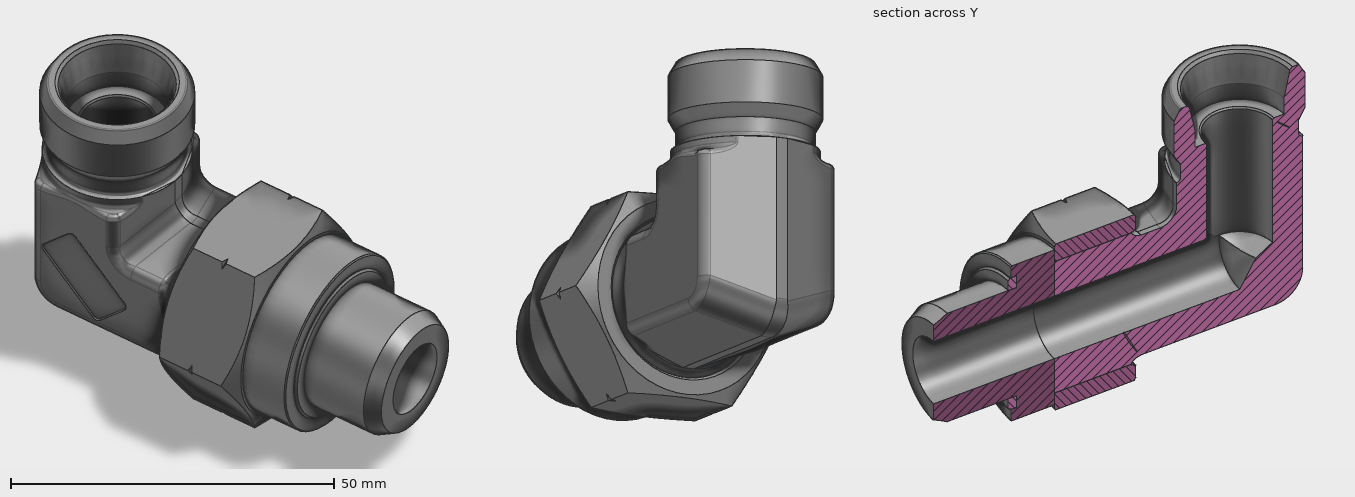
import cadquery as cq
import math


TOLERANCE = 0.01
STOCK_LENGTH = 61.2

OVERALL_LENGTH = 68.0
BORE_D = 12.0
DRILL_POINT_ANGLE = 118.0
UPRIGHT_DRILL_STOP = 0.7
HEAD_D = 24.0
SHANK_D = 23.25

SIDE_OFFSET = HEAD_D / 2
RIDGE_OFFSET = 11.55
RIDGE_HALF_WIDTH = 0.95
SLANT_ANGLE = 20.0
OUTER_BEND_R = 5.0
INNER_BEND_R = 3.0
SIDE_EDGE_R = 2.0
LEG_END = 19.05
SHANK_START = 18.1
TRIM_START = 18.0
TRIM_COVE_R = 1.0
TRIM_EDGE_R = 0.95

NECK_D = 21.6
HEAD_TOP = 33.05
HEAD_CHAMFER_ANGLE = 30.0
HEAD_UNDERSIDE = 24.3
RIM_EDGE_R = 0.3
SOCKET_D = 16.2
SOCKET_DEPTH = 8.5
BORE_CHAMFER = 0.3
CONE_MOUTH_D = 18.3
CONE_HALF_ANGLE = 12.0
MOUTH_CHAMFER = 0.5

PLATE_LENGTH = 15.0
PLATE_WIDTH = 8.5
PLATE_CORNER_R = 1.0
PLATE_DEPTH = 0.3
PLATE_DRAFT = 30.0
PLATE_SLOPE = 45.0
PLATE_CENTRE = 2.05

NUT_START = 19.0
NUT_END = 33.9
NUT_ACROSS_FLATS = 31.95
NUT_FACE_D = 31.0
NUT_CHAMFER_ANGLE = 30.0
NUT_BORE_D = 25.4
NUT_MOUTH_D = 26.3
NOTCH_ROOT_D = 35.9
NOTCH_HALF_WIDTH = 0.4
SHANK_FLARE_R = 2.0

FLANGE_D = 29.9
FLANGE_END = 41.9
FLANGE_CHAMFER = 0.2
STUD_D = 20.95
STUD_TIP_D = 18.3
STUD_CHAMFER_START = 53.5
STUD_END = OVERALL_LENGTH - HEAD_D / 2
RING_D = 25.2
RING_START = 40.9
RING_END = 42.35
RING_CHAMFER = 0.35


def turned_z(points):
    """Solid of revolution about Z from (radius, height) points."""
    return cq.Workplane("XZ").polyline(points).close().revolve(360, (0, 0, 0), (0, 1, 0))


def turned_x(points):
    """Solid of revolution about X from (position, radius) points."""
    return cq.Workplane("XY").polyline(points).close().revolve(360, (0, 0, 0), (1, 0, 0))


def rod_x(diameter, start, end):
    return cq.Workplane("YZ").workplane(offset=start).circle(diameter / 2).extrude(end - start)


def turn_about_y(shape, angle):
    """Turn about Y: 90 degrees takes the +Z leg onto +X, and -90 degrees takes it back."""
    return shape.rotate((0, 0, 0), (0, 1, 0), angle)


def rounded_wedge(corner, bend_r, taper, start_y, toward_y):
    """Square block with its (-X, -Z) edge rounded; that edge starts at (corner, start_y, corner)."""
    depth = abs(toward_y - start_y)
    direction = math.copysign(1, start_y - toward_y)
    centre = corner + STOCK_LENGTH / 2
    block = (
        cq.Workplane("XZ", origin=(centre, start_y, centre))
        .rect(STOCK_LENGTH, STOCK_LENGTH)
        .extrude(direction * depth, taper=taper)
    )
    middle = corner + depth * math.tan(math.radians(taper)) / 2
    bend_edge = cq.NearestToPointSelector((middle, (start_y + toward_y) / 2, middle))
    return block.edges(bend_edge).fillet(bend_r)


def bend_stock(offset, taper):
    """L-shaped stock from Y = 0 to the -Y side; `offset` is its half width at Y = 0."""
    side_offset = offset - SIDE_OFFSET * math.tan(math.radians(taper))
    outside = rounded_wedge(-offset, OUTER_BEND_R, taper, 0, -SIDE_OFFSET)
    inside = rounded_wedge(side_offset, INNER_BEND_R, taper, -SIDE_OFFSET, 0)
    return outside.cut(inside)


def prismatic_body():
    """Both legs with their narrow outer flats, sloping faces and rounded side edges."""
    slant_offset = RIDGE_OFFSET + RIDGE_HALF_WIDTH * math.tan(math.radians(SLANT_ANGLE))
    half = bend_stock(RIDGE_OFFSET, 0).intersect(bend_stock(slant_offset, SLANT_ANGLE))
    half = half.intersect(cq.Workplane("XY").box(2 * LEG_END, 2 * LEG_END, 2 * LEG_END))
    side_edges = half.faces("<Y").edges("not(>X or >Z)")
    half = side_edges.fillet(SIDE_EDGE_R)
    return half.union(half.mirror("XZ"))


def leg_end_trim():
    """Ring of material around the +Z leg that is turned away next to its end."""
    shank_r = SHANK_D / 2
    shoulder = TRIM_START - TRIM_COVE_R
    return (
        cq.Workplane("XZ")
        .moveTo(shank_r, LEG_END)
        .lineTo(shank_r, TRIM_START)
        .radiusArc((shank_r + TRIM_COVE_R, shoulder), -TRIM_COVE_R)
        .lineTo(STOCK_LENGTH, shoulder)
        .lineTo(STOCK_LENGTH, LEG_END)
        .close()
        .revolve(360, (0, 0, 0), (0, 1, 0))
    )


def trim_leg_end(body):
    """Turn the end of the +Z leg round and ease the outer edges of the shoulder that is left."""
    body = body.cut(leg_end_trim())
    shoulder = TRIM_START - TRIM_COVE_R
    cove_r = SHANK_D / 2 + TRIM_COVE_R

    def is_outer_edge(edge):
        is_cove_circle = edge.geomType() == "CIRCLE" and abs(edge.radius() - cove_r) < TOLERANCE
        box = edge.BoundingBox()
        is_low = abs(box.zmin - shoulder) < TOLERANCE and box.zmax < shoulder + TRIM_COVE_R / 2
        return is_low and not is_cove_circle

    outer_edges = [edge for edge in body.edges().vals() if is_outer_edge(edge)]
    return body.newObject(outer_edges).fillet(TRIM_EDGE_R)


def threaded_head():
    """Neck and thread on top of the +Z leg, turned as one solid piece."""
    shank_r, neck_r, head_r = SHANK_D / 2, NECK_D / 2, HEAD_D / 2
    flare = shank_r - neck_r
    undercut = (head_r - neck_r) / math.tan(math.radians(HEAD_CHAMFER_ANGLE))
    return (
        cq.Workplane("XZ")
        .moveTo(0, LEG_END)
        .lineTo(shank_r, LEG_END)
        .radiusArc((neck_r, LEG_END + flare), flare)
        .lineTo(neck_r, HEAD_UNDERSIDE - undercut)
        .lineTo(head_r, HEAD_UNDERSIDE)
        .lineTo(head_r, HEAD_TOP - undercut)
        .lineTo(neck_r, HEAD_TOP)
        .lineTo(0, HEAD_TOP)
        .close()
        .revolve(360, (0, 0, 0), (0, 1, 0))
        .faces(">Z").edges().fillet(RIM_EDGE_R)
    )


def tube_socket():
    """Chamfered 24 degree cone and the tube seat below it, open at the top of the head."""
    bore_r, seat_r, mouth_r = BORE_D / 2, SOCKET_D / 2, CONE_MOUTH_D / 2
    seat_z = HEAD_TOP - SOCKET_DEPTH
    mouth_z = HEAD_TOP - MOUTH_CHAMFER
    cone_depth = (mouth_r - seat_r) / math.tan(math.radians(CONE_HALF_ANGLE))
    return turned_z([
        (0, seat_z - BORE_CHAMFER),
        (bore_r, seat_z - BORE_CHAMFER),
        (bore_r + BORE_CHAMFER, seat_z),
        (seat_r, seat_z),
        (seat_r, mouth_z - cone_depth),
        (mouth_r, mouth_z),
        (mouth_r + MOUTH_CHAMFER, HEAD_TOP),
        (0, HEAD_TOP),
    ])


def nut_shank():
    """Round end of the +X leg, flaring out to the collar that fills the nut."""
    shank_r, collar_r = SHANK_D / 2, NUT_BORE_D / 2
    flare_length = math.sqrt(SHANK_FLARE_R**2 - (SHANK_FLARE_R - (collar_r - shank_r)) ** 2)
    return (
        cq.Workplane("XY")
        .moveTo(SHANK_START, 0)
        .lineTo(SHANK_START, shank_r)
        .radiusArc((SHANK_START + flare_length, collar_r), -SHANK_FLARE_R)
        .lineTo(NUT_END, collar_r)
        .lineTo(NUT_END, 0)
        .close()
        .revolve(360, (0, 0, 0), (1, 0, 0))
    )


def drilled_bore(start, end):
    """Bore along +Z that narrows to a drill point below its start."""
    bore_r = BORE_D / 2
    point_depth = bore_r / math.tan(math.radians(DRILL_POINT_ANGLE / 2))
    return turned_z([(0, start - point_depth), (bore_r, start), (bore_r, end), (0, end)])


def name_plate():
    """Shallow rounded recess with drafted walls on the -Y side, its long side sloping down to the right."""
    outline = cq.Sketch().rect(PLATE_LENGTH, PLATE_WIDTH).vertices().fillet(PLATE_CORNER_R)
    return (
        cq.Workplane("XZ", origin=(PLATE_CENTRE, -SIDE_OFFSET, PLATE_CENTRE))
        .transformed(rotate=(0, 0, -PLATE_SLOPE))
        .placeSketch(outline)
        .extrude(-PLATE_DEPTH, taper=PLATE_DRAFT)
    )


def make_elbow():
    body = trim_leg_end(prismatic_body())
    body = turn_about_y(trim_leg_end(turn_about_y(body, -90)), 90)
    body = body.union(threaded_head())
    body = body.union(nut_shank())
    body = body.cut(tube_socket())
    body = body.cut(drilled_bore(UPRIGHT_DRILL_STOP, HEAD_TOP))
    body = body.cut(turn_about_y(drilled_bore(0, NUT_END), 90))
    return body.cut(name_plate())


def make_nut():
    corner_r = NUT_ACROSS_FLATS / math.sqrt(3)
    face_r, bore_r = NUT_FACE_D / 2, NUT_BORE_D / 2
    rise = (corner_r - face_r) * math.tan(math.radians(NUT_CHAMFER_ANGLE))
    mouth = (NUT_MOUTH_D - NUT_BORE_D) / 2

    nut = (
        cq.Workplane("YZ")
        .workplane(offset=NUT_START)
        .polygon(6, 2 * corner_r)
        .extrude(NUT_END - NUT_START)
    )
    turned_blank = turned_x([
        (NUT_START, bore_r + mouth),
        (NUT_START, face_r),
        (NUT_START + rise, corner_r),
        (NUT_END - rise, corner_r),
        (NUT_END, face_r),
        (NUT_END, bore_r),
        (NUT_START + mouth, bore_r),
    ])
    nut = nut.intersect(turned_blank)

    centre = (NUT_START + NUT_END) / 2
    root_r = NOTCH_ROOT_D / 2
    notch = turned_x([
        (centre, root_r),
        (centre - NOTCH_HALF_WIDTH, corner_r),
        (centre + NOTCH_HALF_WIDTH, corner_r),
    ])
    return nut.cut(notch)


def make_stud():
    bore_r, flange_r, stud_r = BORE_D / 2, FLANGE_D / 2, STUD_D / 2
    stud = turned_x([
        (NUT_END, bore_r),
        (NUT_END, flange_r),
        (FLANGE_END - FLANGE_CHAMFER, flange_r),
        (FLANGE_END, flange_r - FLANGE_CHAMFER),
        (FLANGE_END, stud_r),
        (STUD_CHAMFER_START, stud_r),
        (STUD_END, STUD_TIP_D / 2),
        (STUD_END, bore_r),
    ])
    ring_groove = rod_x(RING_D, RING_START, FLANGE_END).cut(rod_x(STUD_D, RING_START, FLANGE_END))
    return stud.cut(ring_groove)


def make_seal_ring():
    ring = rod_x(RING_D, RING_START, RING_END).faces(">X").chamfer(RING_CHAMFER)
    return ring.cut(rod_x(STUD_D, RING_START, RING_END))


elbow = make_elbow()
nut = make_nut()
stud = make_stud()
seal_ring = make_seal_ring()

result = cq.Compound.makeCompound([
    *elbow.solids().vals(),
    *nut.solids().vals(),
    *stud.solids().vals(),
    *seal_ring.solids().vals(),
])